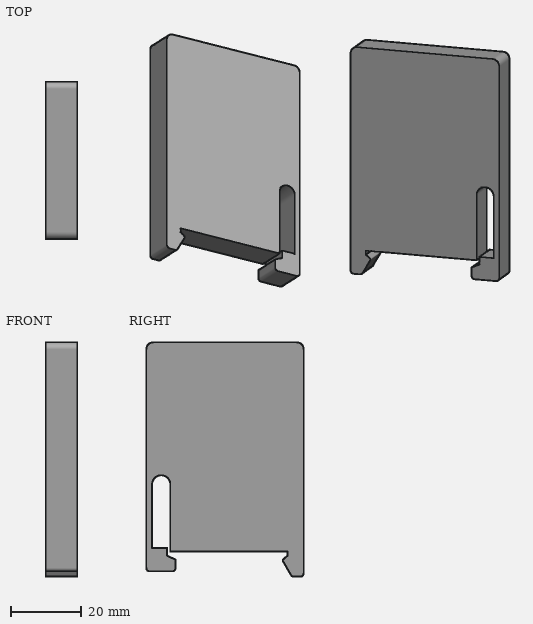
import cadquery as cq
import math

thickness = 9.0
width = 45.0
height = 66.99
top_corner_radius = 2.0
foot_corner_radius = 1.0

back_y = width / 2
front_y = -width / 2

seat_z = 7.15

rigid_neck = 4.7
rigid_reach = 6.15
rigid_neck_z = 6.0
rigid_tip_z = 4.75
rigid_slope_angle = 60.0
rigid_tip_radius = 0.3

spring_foot_z = 1.5
spring_wall = 1.7
spring_neck = 6.0
spring_reach = 8.4
spring_lip_z = 4.9
spring_neck_z = 6.0
spring_top_z = 8.25

slot_width = 5.15
slot_top_z = 28.95

rigid_neck_y = back_y - rigid_neck
rigid_tip_y = back_y - rigid_reach
rigid_foot_y = rigid_tip_y + rigid_tip_z / math.tan(math.radians(rigid_slope_angle))
spring_neck_y = front_y + spring_neck
spring_lip_y = front_y + spring_reach
slot_outer_y = front_y + spring_wall
slot_inner_y = slot_outer_y + slot_width
slot_radius = slot_width / 2
slot_arc_z = slot_top_z - slot_radius


def make_plate():
    """Extrude the sharp-cornered side profile symmetrically along X."""
    return (
        cq.Workplane("YZ")
        .moveTo(back_y, height)
        .lineTo(back_y, 0)
        .lineTo(rigid_foot_y, 0)
        .lineTo(rigid_tip_y, rigid_tip_z)
        .lineTo(rigid_neck_y, rigid_neck_z)
        .lineTo(rigid_neck_y, seat_z)
        .lineTo(slot_inner_y, seat_z)
        .lineTo(slot_inner_y, slot_arc_z)
        .threePointArc((slot_inner_y - slot_radius, slot_top_z), (slot_outer_y, slot_arc_z))
        .lineTo(slot_outer_y, spring_top_z)
        .lineTo(spring_neck_y, spring_top_z)
        .lineTo(spring_neck_y, spring_neck_z)
        .lineTo(spring_lip_y, spring_lip_z)
        .lineTo(spring_lip_y, spring_foot_z)
        .lineTo(front_y, spring_foot_z)
        .lineTo(front_y, height)
        .close()
        .extrude(thickness / 2, both=True)
    )


def round_corners(body, corners, radius):
    """Fillet the X-parallel edge at each (y, z) corner."""
    for y, z in corners:
        body = body.edges(cq.NearestToPointSelector((0, y, z))).fillet(radius)
    return body


top_corners = [(back_y, height), (front_y, height)]
foot_corners = [
    (back_y, 0),
    (rigid_foot_y, 0),
    (spring_lip_y, spring_foot_z),
    (front_y, spring_foot_z),
]
rigid_tip = [(rigid_tip_y, rigid_tip_z)]

result = make_plate()
result = round_corners(result, top_corners, top_corner_radius)
result = round_corners(result, foot_corners, foot_corner_radius)
result = round_corners(result, rigid_tip, rigid_tip_radius)